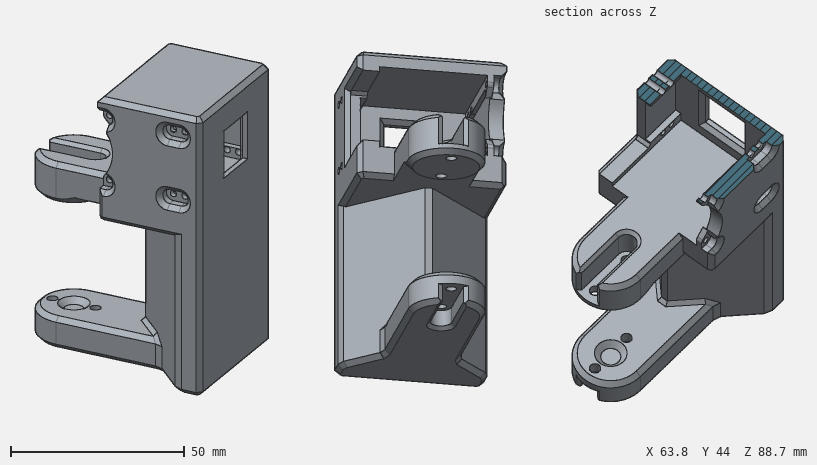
import cadquery as cq
import math

EDGE = 1.5
CHAMFER_ANGLE = 45
HEIGHT = 88.7
DEPTH = 44.0
BACK_X = 52.6
BOX_X = 19.0
BOX_Z = 49.4

ARM_R = 11.19
LOWER_ARM_TOP = 10.0
UPPER_ARM_TOP = 59.1
DISC_DROP = 2.9
PIVOT_OFFSET = 7.0
PIVOT_HOLE_D = 3.2
SLOT_R = 3.1
SLOT_CHAMFER = 1.1
MOUTH_FLARE = 1.3
MOUTH_SLOPE = 1.7
LOWER_SLOT_ROOF = 5.9
DIMPLE_D = 9.4
DIMPLE_DEPTH = 1.8

RIDGE_X = 23.9
RIDGE_HALF = 1.1
ROOT = 1.2

MID_Z = 71.6
POCKET_BACK_X = 49.6
POCKET_TOP = 83.9
POCKET_Y_MIN = -16.3
POCKET_Y_MAX = 15.6
RECESS_HALF_Y = 17.6
RECESS_HALF_Z = 9.2
SIDE_OPENING_HALF_Z = 10.85
SIDE_OPENING_BACK_X = 36.1
SIDE_OPENING_CHAMFER = 1.0
WINDOW = 15.0
WINDOW_CHAMFER = 1.4
BORE_R = 10.95
BORE_X = 12.95

SCREW_X = 19.1
SCREW_PITCH_X = 24.5
SCREW_PITCH_Z = 20.5
SCREW_PAIR = 3.75
SCREW_D = 2.0
HEAD_R = 2.25
HEAD_DEPTH = 3.8
FACET_X = 21.95

HALF_Y = DEPTH / 2
DIAGONAL = EDGE / math.sqrt(2)
ROOT_MITER = ROOT * math.tan(math.radians(CHAMFER_ANGLE / 2))


def box(x0, x1, y0, y1, z0, z1):
    """Axis-aligned block between two corners."""
    return cq.Workplane("XY").box(x1 - x0, y1 - y0, z1 - z0, centered=False).translate((x0, y0, z0))


def prism(points, z0, z1):
    """Vertical prism over an XY outline."""
    return cq.Workplane("XY").workplane(offset=z0).polyline(points).close().extrude(z1 - z0)


def arm(x_end, z0, z1):
    """Bar with a round front end, chamfered around its top edge."""
    bar = (
        cq.Workplane("XY")
        .workplane(offset=z0)
        .moveTo(x_end, -ARM_R)
        .lineTo(0, -ARM_R)
        .threePointArc((-ARM_R, 0), (0, ARM_R))
        .lineTo(x_end, ARM_R)
        .close()
        .extrude(z1 - z0)
    )
    return bar.faces(">Z").edges("not >X").chamfer(EDGE)


def column():
    """Wedge-shaped column: flat ridge in front, 45 degree flanks, bevelled rear edges."""
    corner_x = RIDGE_X + HALF_Y - RIDGE_HALF
    side = [
        (RIDGE_X, RIDGE_HALF),
        (corner_x - DIAGONAL, HALF_Y - DIAGONAL),
        (corner_x + EDGE, HALF_Y),
        (BACK_X - EDGE, HALF_Y),
        (BACK_X, HALF_Y - EDGE),
    ]
    outline = side + [(x, -y) for x, y in reversed(side)]
    return prism(outline, 0, UPPER_ARM_TOP)


def root_flank():
    """Chamfer wedge filling the corner between the lower arm and the -Y flank of the column."""
    flank = cq.Plane(origin=(RIDGE_X, -RIDGE_HALF, 0), xDir=(1, -1, 0), normal=(-1, -1, 0))
    side = (ARM_R - RIDGE_HALF) * math.sqrt(2)
    shoulder = LOWER_ARM_TOP - EDGE
    top_corner = side - EDGE * math.sqrt(2) - ROOT

    def section(start, end, top):
        return [(start, 0), (end, 0), (end, shoulder), (top_corner, top), (start, top)]

    return (
        cq.Workplane(flank)
        .polyline(section(0, side + ROOT, LOWER_ARM_TOP + ROOT)).close()
        .workplane(offset=ROOT)
        .polyline(section(-ROOT_MITER, side - ROOT, LOWER_ARM_TOP)).close()
        .loft(ruled=True)
    )


def root_ridge():
    """Chamfer wedge between the top of the lower arm and the ridge of the column."""
    half = RIDGE_HALF + ROOT_MITER
    return (
        cq.Workplane("YZ", origin=(RIDGE_X, 0, 0))
        .polyline([(-RIDGE_HALF, 0), (RIDGE_HALF, 0),
                   (RIDGE_HALF, LOWER_ARM_TOP + ROOT), (-RIDGE_HALF, LOWER_ARM_TOP + ROOT)]).close()
        .workplane(offset=-ROOT)
        .polyline([(-half, 0), (half, 0), (half, LOWER_ARM_TOP), (-half, LOWER_ARM_TOP)]).close()
        .loft(ruled=True)
    )


def lower_body():
    """Column and lower arm with a chamfered root between them and a chamfered foot."""
    flank = root_flank()
    body = (
        column()
        .union(arm(RIDGE_X + ARM_R, 0, LOWER_ARM_TOP))
        .union(flank)
        .union(flank.mirror("XZ"))
        .union(root_ridge())
        .clean()
    )
    return body.faces("<Z").edges().chamfer(EDGE)


def upper_arm():
    """Upper arm with a conical disc under its round end."""
    rim_r = ARM_R - EDGE + DISC_DROP
    lowest = BOX_Z - DISC_DROP
    disc = (
        cq.Workplane("XY").workplane(offset=lowest).circle(ARM_R - EDGE)
        .workplane(offset=DISC_DROP).circle(rim_r).loft()
    )
    bar = arm(POCKET_BACK_X, BOX_Z, UPPER_ARM_TOP)
    return bar.union(disc.intersect(arm(POCKET_BACK_X, lowest, UPPER_ARM_TOP)))


def housing():
    """Outer block of the housing."""
    block = box(BOX_X, BACK_X, -HALF_Y, HALF_Y, BOX_Z, HEIGHT)
    block = block.edges("|Z and (>X or >Y)").chamfer(EDGE)
    block = block.faces(">Z").edges().chamfer(EDGE)
    block = block.faces("<Z").edges("not >X").chamfer(EDGE)
    front_corner = prism(
        [(BOX_X, -HALF_Y), (BOX_X + EDGE, -HALF_Y), (BOX_X, -HALF_Y + EDGE)], BOX_Z, UPPER_ARM_TOP)
    return block.cut(front_corner)


def cavity():
    """Space inside the housing: pocket, side recesses, +Y side opening and rear window."""
    pocket = box(0, POCKET_BACK_X, POCKET_Y_MIN, POCKET_Y_MAX, UPPER_ARM_TOP, POCKET_TOP)
    recess = box(0, POCKET_BACK_X, -RECESS_HALF_Y, RECESS_HALF_Y,
                 MID_Z - RECESS_HALF_Z, MID_Z + RECESS_HALF_Z)
    opening = box(0, SIDE_OPENING_BACK_X, 0, HALF_Y,
                  MID_Z - SIDE_OPENING_HALF_Z, MID_Z + SIDE_OPENING_HALF_Z)
    opening = opening.faces(">X").edges("|Y").chamfer(SIDE_OPENING_CHAMFER)
    rim_half_z = SIDE_OPENING_HALF_Z + EDGE
    rim = (
        cq.Workplane("XZ", origin=(0, HALF_Y, MID_Z))
        .moveTo(SIDE_OPENING_BACK_X + EDGE, rim_half_z)
        .lineTo(SIDE_OPENING_BACK_X + EDGE, -rim_half_z)
        .lineTo(0, -rim_half_z)
        .lineTo(0, rim_half_z)
        .close()
        .extrude(EDGE, taper=CHAMFER_ANGLE)
    )
    window = (
        cq.Workplane("YZ", origin=(POCKET_BACK_X, 0, MID_Z))
        .rect(WINDOW, WINDOW).extrude(BACK_X - POCKET_BACK_X)
    )
    flare_width = WINDOW + 2 * WINDOW_CHAMFER
    flare = (
        cq.Workplane("YZ", origin=(POCKET_BACK_X, 0, MID_Z))
        .rect(flare_width, flare_width).extrude(WINDOW_CHAMFER, taper=CHAMFER_ANGLE)
    )
    return pocket.union(recess).union(opening).union(rim).union(window).union(flare)


def wall_bore():
    """Round cut-out through the -Y wall with clearance up to the front screws."""
    bore = (
        cq.Workplane("XZ", origin=(BORE_X, 0, MID_Z))
        .circle(BORE_R).extrude(HALF_Y)
    )
    clearance = box(0, FACET_X, -HALF_Y, POCKET_Y_MIN,
                    MID_Z - SCREW_PITCH_Z / 2, MID_Z + SCREW_PITCH_Z / 2)
    return bore.union(clearance)


def screw_tab(side):
    """Tab that carries a front screw hole; side is +1 for the upper hole, -1 for the lower one."""
    hole_x = SCREW_X + SCREW_PAIR / 2
    hole_z = MID_Z + side * SCREW_PITCH_Z / 2
    tip_r = hole_x - BOX_X
    tangent = tip_r / math.sqrt(2)
    reach = FACET_X - hole_x
    face = cq.Workplane("XZ", origin=(hole_x, HEAD_DEPTH - HALF_Y, hole_z))
    thickness = POCKET_Y_MIN + HALF_Y - HEAD_DEPTH
    tip = face.circle(tip_r).extrude(-thickness)
    web = (
        face.moveTo(0, 0)
        .lineTo(-tangent, -side * tangent)
        .lineTo(reach, -side * (reach + 2 * tangent))
        .lineTo(reach, 0)
        .close()
        .extrude(-thickness)
    )
    return tip.union(web)


def screw_slot(x, z, hole_depth):
    """Pair of holes sharing a chamfered, slotted head recess in the -Y face."""
    face = cq.Workplane("XZ", origin=(x, -HALF_Y, z))
    head = face.slot2D(SCREW_PAIR + 2 * HEAD_R, 2 * HEAD_R).extrude(-HEAD_DEPTH)
    outer_r = HEAD_R + EDGE
    rim = face.slot2D(SCREW_PAIR + 2 * outer_r, 2 * outer_r).extrude(-EDGE, taper=CHAMFER_ANGLE)
    centers = [(-SCREW_PAIR / 2, 0), (SCREW_PAIR / 2, 0)]
    holes = face.pushPoints(centers).circle(SCREW_D / 2).extrude(-hole_depth)
    return head.union(rim).union(holes)


def slot_outline(z, radius):
    """Plan of an arm slot, open at the front and round at its inner end."""
    return (
        cq.Workplane("XY").workplane(offset=z)
        .moveTo(-2 * ARM_R, -radius)
        .lineTo(PIVOT_OFFSET, -radius)
        .threePointArc((PIVOT_OFFSET + radius, 0), (PIVOT_OFFSET, radius))
        .lineTo(-2 * ARM_R, radius)
        .close()
    )


def arm_slot(floor, surface):
    """Slot cut from an arm surface to its floor, with a chamfered rim and a flared mouth."""
    depth = surface - floor
    inward = -math.copysign(SLOT_CHAMFER, depth)
    slot = slot_outline(floor, SLOT_R).extrude(depth)
    rim = slot_outline(surface, SLOT_R + SLOT_CHAMFER).extrude(inward, taper=CHAMFER_ANGLE)
    tip_x = -math.sqrt(ARM_R ** 2 - SLOT_R ** 2)
    flare_x = tip_x + MOUTH_FLARE
    reach = flare_x + ARM_R
    half = SLOT_R + reach * MOUTH_SLOPE
    mouth = prism([(flare_x, SLOT_R), (-ARM_R, half), (-ARM_R, -half), (flare_x, -SLOT_R)],
                  min(floor, surface), max(floor, surface))
    return slot.union(rim).union(mouth)


def dimple():
    """Conical seat with a flat floor in the top of the lower arm."""
    radius = DIMPLE_D / 2
    return (
        cq.Workplane("XY").workplane(offset=LOWER_ARM_TOP).circle(radius)
        .workplane(offset=-DIMPLE_DEPTH).circle(radius - DIMPLE_DEPTH).loft()
    )


def pivot_holes():
    """Vertical holes through both arms."""
    return (
        cq.Workplane("XY").pushPoints([(-PIVOT_OFFSET, 0), (PIVOT_OFFSET, 0)])
        .circle(PIVOT_HOLE_D / 2).extrude(UPPER_ARM_TOP)
    )


result = lower_body().union(upper_arm()).union(housing())
result = result.cut(cavity()).cut(wall_bore())
for side in (-1, 1):
    screw_z = MID_Z + side * SCREW_PITCH_Z / 2
    result = result.union(screw_tab(side))
    result = result.cut(screw_slot(SCREW_X, screw_z, HALF_Y))
    result = result.cut(screw_slot(SCREW_X + SCREW_PITCH_X, screw_z, DEPTH))
result = result.cut(arm_slot(BOX_Z, UPPER_ARM_TOP))
result = result.cut(arm_slot(LOWER_SLOT_ROOF, 0))
result = result.cut(dimple()).cut(pivot_holes())